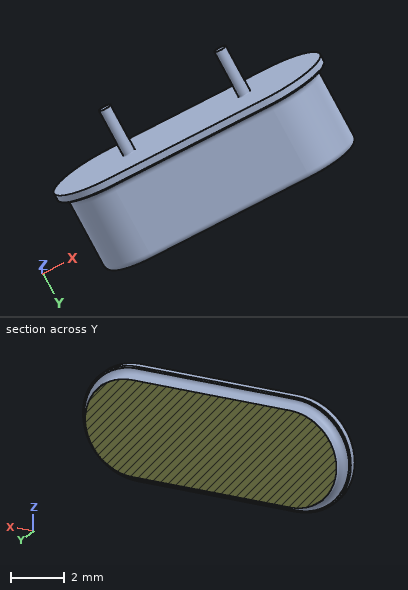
import cadquery as cq

flange_length = 11.35
flange_height = 4.65
flange_thickness = 0.31

lip_inset = 0.07
lip_thickness = 0.04
lip_top = flange_thickness + lip_thickness

can_inset = 0.35
can_rise = 3.60
can_edge_radius = 0.25
can_foot_radius = 0.27

overall_depth = 5.59
pin_spacing = 4.90
pin_diameter = 0.50
pin_length = overall_depth - can_rise
pin_root_radius = 0.04

seal_diameter = 1.20


def stadium(inset, end_y):
    """Prism on the flange outline inset all round, from Y = 0 to end_y."""
    length = flange_length - 2 * inset
    height = flange_height - 2 * inset
    return cq.Workplane("XZ").slot2D(length, height).extrude(-end_y)


def rod(center_x, diameter, end_y):
    """Cylinder on the X axis, from Y = 0 to end_y."""
    return cq.Workplane("XZ").center(center_x, 0).circle(diameter / 2).extrude(-end_y)


def edges_within(center, size_x, size_y, size_z):
    """Selector for the edges lying wholly inside a box around center."""
    x, y, z = center
    low = (x - size_x / 2, y - size_y / 2, z - size_z / 2)
    high = (x + size_x / 2, y + size_y / 2, z + size_z / 2)
    return cq.selectors.BoxSelector(low, high, boundingbox=True)


def housing():
    """Flange and lipped can, with a filleted foot and a rounded closed end."""
    flange = stadium(0, flange_thickness)
    lip = stadium(lip_inset, lip_top)
    can = stadium(can_inset, can_rise).faces(">Y").edges().fillet(can_edge_radius)
    foot = edges_within(
        (0, lip_top, 0),
        flange_length - can_inset,
        lip_thickness,
        flange_height - can_inset,
    )
    lipped_can = lip.union(can).edges(foot).fillet(can_foot_radius)
    return flange.union(lipped_can)


def seal_plug(center_x):
    """Round plug through the flange thickness."""
    return rod(center_x, seal_diameter, flange_thickness)


def sealed_lead(center_x):
    """Seal plug and its pin, with a small fillet at the root of the pin."""
    pin = rod(center_x, pin_diameter, -pin_length)
    root_box_width = (pin_diameter + seal_diameter) / 2
    pin_root = edges_within((center_x, 0, 0), root_box_width, pin_root_radius, root_box_width)
    return seal_plug(center_x).union(pin).edges(pin_root).fillet(pin_root_radius)


part = housing()
for side in (-1, 1):
    pin_x = side * pin_spacing / 2
    part = part.cut(seal_plug(pin_x), clean=False)
    part = part.union(sealed_lead(pin_x), clean=False)

result = part.solids()